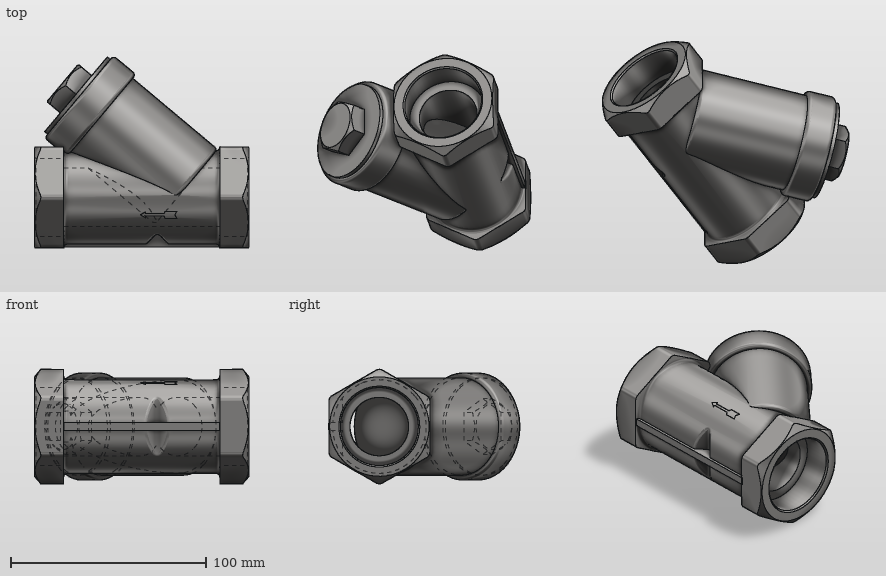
import cadquery as cq
import math

RUN_LENGTH = 110.0
PIPE_DIAMETER = 48.0
PIPE_FILLET = 2.0
BORE_DIAMETER = 30.0

SOCKET_FLATS = 51.75
SOCKET_LENGTH = 15.0
SOCKET_CORNER_RADIUS = 3.2
SOCKET_FACE_DIAMETER = 51.0
SOCKET_CHAMFER_ANGLE = 50.0
THREAD_DIAMETER = 40.0
THREAD_DEPTH = 15.0
THREAD_CHAMFER = 0.75

BRANCH_ANGLE = 40.0
COVER_CENTRE_X = 21.3
COVER_CENTRE_Y = 52.9
COVER_DIAMETER = 50.0
COVER_THICKNESS = 2.0
COLLAR_DIAMETER = 55.0
COLLAR_LENGTH = 15.0
COLLAR_FILLET = 2.0
BRANCH_DIAMETER = 50.0
BRANCH_REACH = 73.8
BRANCH_END_FILLET = 2.0

HEAD_FLATS = 25.0
HEAD_HEIGHT = 9.0
HEAD_FACE_DIAMETER = 23.75
HEAD_CHAMFER_ANGLE = 50.0

RIB_WIDTH = 4.0
RIB_OUTER_Y = -25.4
NOTCH_CENTRE_X = 63.0
NOTCH_FLOOR_Y = -19.0
NOTCH_FLOOR_RADIUS = 2.0
NOTCH_RIM_FILLET = 2.0

ARROW_TIP_X = 54.3
ARROW_TAIL_X = 73.0
ARROW_HEAD_LENGTH = 2.6
ARROW_HEAD_WIDTH = 3.0
ARROW_SHAFT_WIDTH = 1.2
ARROW_FLETCH_LENGTH = 6.0
ARROW_FLETCH_WIDTH = 3.6
ARROW_FLETCH_TAPER = 0.6
ARROW_TAIL_NOTCH = 1.0
ARROW_CENTRE_Y = -8.9
ARROW_RELIEF = 0.1

CLEARANCE = 1.0


def chamfered_hexagon(flats, height, face_diameter, chamfer_angle, corner_radius=0.0):
    """Hexagonal prism on Z=0 with corners on the Y axis and a conical top chamfer."""
    corner_diameter = flats / math.cos(math.radians(30))
    prism = cq.Workplane("XY").polygon(6, corner_diameter).extrude(height)
    prism = prism.rotate((0, 0, 0), (0, 0, 1), 90)
    if corner_radius > 0:
        prism = prism.edges("|Z").fillet(corner_radius)
    outer_radius = corner_diameter / 2 + CLEARANCE
    face_radius = face_diameter / 2
    drop = (outer_radius - face_radius) / math.tan(math.radians(chamfer_angle))
    envelope = (
        cq.Workplane("XZ")
        .polyline(
            [
                (0, 0),
                (outer_radius, 0),
                (outer_radius, height - drop),
                (face_radius, height),
                (0, height),
            ]
        )
        .close()
        .revolve(360, (0, 0), (0, 1))
    )
    return prism.intersect(envelope)


def end_socket():
    """Left-hand socket, its open face at X=0 and its corners pointing to +Z and -Z."""
    socket = chamfered_hexagon(
        SOCKET_FLATS,
        SOCKET_LENGTH,
        SOCKET_FACE_DIAMETER,
        SOCKET_CHAMFER_ANGLE,
        SOCKET_CORNER_RADIUS,
    )
    socket = socket.rotate((0, 0, 0), (1, 0, 0), 90)
    socket = socket.rotate((0, 0, 0), (0, 0, 1), -90)
    return socket.translate((SOCKET_LENGTH, 0, 0))


def at_both_ends(left_shape):
    """A left-hand shape together with its mirror image at the right-hand end."""
    mirrored = left_shape.mirror("YZ", (RUN_LENGTH / 2, 0, 0))
    return left_shape.union(mirrored)


def pipe():
    """Pipe between the sockets, flaring with a concave fillet into each of them."""
    radius = PIPE_DIAMETER / 2
    flare_radius = radius + PIPE_FILLET
    left = SOCKET_LENGTH
    right = RUN_LENGTH - SOCKET_LENGTH
    mid_offset = PIPE_FILLET * (1 - math.sqrt(0.5))
    return (
        cq.Workplane("XY")
        .moveTo(left, 0)
        .lineTo(left, flare_radius)
        .threePointArc((left + mid_offset, radius + mid_offset), (left + PIPE_FILLET, radius))
        .lineTo(right - PIPE_FILLET, radius)
        .threePointArc((right - mid_offset, radius + mid_offset), (right, flare_radius))
        .lineTo(right, 0)
        .close()
        .revolve(360, (0, 0, 0), (1, 0, 0))
    )


def cut_notch(body):
    """V notch with 45 degree flanks, a rounded floor and a rounded rim where it meets the pipe."""
    apex_y = NOTCH_FLOOR_Y + NOTCH_FLOOR_RADIUS * (math.sqrt(2) - 1)
    mouth_y = -PIPE_DIAMETER
    mouth_half = apex_y - mouth_y
    wedge = (
        cq.Workplane("XY")
        .polyline(
            [
                (NOTCH_CENTRE_X, apex_y),
                (NOTCH_CENTRE_X + mouth_half, mouth_y),
                (NOTCH_CENTRE_X - mouth_half, mouth_y),
            ]
        )
        .close()
        .extrude(PIPE_DIAMETER / 2, both=True)
    )
    wedge = wedge.edges("|Z and >Y").fillet(NOTCH_FLOOR_RADIUS)
    notched = body.cut(wedge)
    rim_half = apex_y + PIPE_DIAMETER / 2 + CLEARANCE
    rim_zone = cq.selectors.BoxSelector(
        (NOTCH_CENTRE_X - rim_half, -PIPE_DIAMETER, -PIPE_DIAMETER),
        (NOTCH_CENTRE_X + rim_half, NOTCH_FLOOR_Y + CLEARANCE, PIPE_DIAMETER),
    )
    return notched.edges(rim_zone).edges("not(|Z)").fillet(NOTCH_RIM_FILLET)


def rib():
    """Straight rib from socket to socket, spanning the notch."""
    length = RUN_LENGTH - 2 * SOCKET_LENGTH
    depth = NOTCH_FLOOR_Y - RIB_OUTER_Y
    centre_y = (NOTCH_FLOOR_Y + RIB_OUTER_Y) / 2
    return cq.Workplane("XY").box(length, depth, RIB_WIDTH).translate((RUN_LENGTH / 2, centre_y, 0))


def flow_arrow():
    """Arrow outline raised slightly above the upper side of the pipe."""
    head_end = ARROW_TIP_X + ARROW_HEAD_LENGTH
    fletch_start = ARROW_TAIL_X - ARROW_FLETCH_LENGTH
    head_half = ARROW_HEAD_WIDTH / 2
    shaft_half = ARROW_SHAFT_WIDTH / 2
    fletch_half = ARROW_FLETCH_WIDTH / 2
    upper_side = [
        (head_end, head_half),
        (head_end, shaft_half),
        (fletch_start - ARROW_FLETCH_TAPER, shaft_half),
        (fletch_start, fletch_half),
        (ARROW_TAIL_X, fletch_half),
    ]
    lower_side = [(x, -y) for x, y in reversed(upper_side)]
    outline = [(ARROW_TIP_X, 0), *upper_side, (ARROW_TAIL_X - ARROW_TAIL_NOTCH, 0), *lower_side]
    column = (
        cq.Workplane("XY")
        .polyline(outline)
        .close()
        .extrude(PIPE_DIAMETER)
        .translate((0, ARROW_CENTRE_Y, 0))
    )
    inner_radius = BORE_DIAMETER / 2 + CLEARANCE
    outer_radius = PIPE_DIAMETER / 2 + ARROW_RELIEF
    shell = cq.Workplane("YZ").circle(outer_radius).circle(inner_radius).extrude(RUN_LENGTH)
    return column.intersect(shell)


def branch():
    """Branch with collar, cover and head; its axis falls toward +X at BRANCH_ANGLE."""
    cover = cq.Workplane("XY").circle(COVER_DIAMETER / 2).extrude(-COVER_THICKNESS)
    barrel = cq.Workplane("XY").circle(BRANCH_DIAMETER / 2).extrude(-BRANCH_REACH)
    barrel = barrel.faces("<Z").edges().fillet(BRANCH_END_FILLET)
    collar = cq.Workplane("XY").circle(COLLAR_DIAMETER / 2).extrude(-COLLAR_LENGTH)
    collar = collar.edges().fillet(COLLAR_FILLET)
    collar = collar.translate((0, 0, -COVER_THICKNESS))
    head = chamfered_hexagon(HEAD_FLATS, HEAD_HEIGHT, HEAD_FACE_DIAMETER, HEAD_CHAMFER_ANGLE)
    upright = barrel.union(collar).union(cover).union(head)
    on_side = upright.rotate((0, 0, 0), (1, 0, 0), 90).rotate((0, 0, 0), (0, 0, 1), -90)
    inclined = on_side.rotate((0, 0, 0), (0, 0, 1), -BRANCH_ANGLE)
    return inclined.translate((COVER_CENTRE_X, COVER_CENTRE_Y, 0))


def socket_bore():
    """Threaded-end bore of the left socket with a lead-in chamfer at its mouth."""
    bore = cq.Workplane("YZ").circle(THREAD_DIAMETER / 2).extrude(THREAD_DEPTH)
    lead_in = cq.Solid.makeCone(
        THREAD_DIAMETER / 2 + THREAD_CHAMFER,
        THREAD_DIAMETER / 2,
        THREAD_CHAMFER,
        cq.Vector(0, 0, 0),
        cq.Vector(1, 0, 0),
    )
    return bore.union(cq.Workplane(lead_in))


through_bore = cq.Workplane("YZ").circle(BORE_DIAMETER / 2).extrude(RUN_LENGTH)

body = cut_notch(pipe())
body = body.union(rib()).union(at_both_ends(end_socket()))
body = body.union(flow_arrow())
body = body.cut(through_bore)

result = body.union(branch()).cut(at_both_ends(socket_bore()))